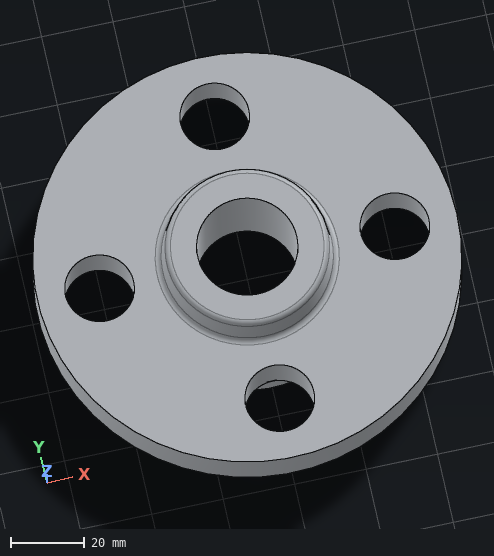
import cadquery as cq

flange_diameter = 117.3
flange_thickness = 14.2

face_diameter = 63.5
face_height = 6.3

total_height = 30.3
hub_height = total_height - flange_thickness - face_height
hub_base_diameter = 47.5
hub_taper_angle = 8.5
hub_top_rounding = 1.5
hub_foot_fillet = 1.6

bore_diameter = 27.7
bolt_hole_diameter = 19.0
bolt_circle_diameter = 82.6
bolt_count = 4


def make_flange():
    """Plate with its underside on Z = 0 and the raised face below it."""
    plate = cq.Workplane("XY").circle(flange_diameter / 2).extrude(flange_thickness)
    raised_face = cq.Workplane("XY").circle(face_diameter / 2).extrude(-face_height)
    return plate.union(raised_face)


def make_hub():
    """Cone frustum standing on the plate, rounded at its top edge."""
    return (
        cq.Workplane("XY", origin=(0, 0, flange_thickness))
        .circle(hub_base_diameter / 2)
        .extrude(hub_height, taper=hub_taper_angle)
        .faces(">Z")
        .edges()
        .fillet(hub_top_rounding)
    )


def fillet_hub_foot(body):
    """Blend the hub into the plate around the foot of the hub."""
    half_width = hub_base_diameter / 2 + hub_foot_fillet
    half_depth = hub_foot_fillet
    foot_zone = cq.selectors.BoxSelector(
        (-half_width, -half_width, flange_thickness - half_depth),
        (half_width, half_width, flange_thickness + half_depth),
        boundingbox=True,
    )
    return body.edges(foot_zone).fillet(hub_foot_fillet)


def drill_holes(body):
    """Cut the central bore and the ring of bolt holes right through."""
    bottom = cq.Workplane("XY", origin=(0, 0, -face_height))
    bore = bottom.circle(bore_diameter / 2).extrude(total_height)
    bolt_holes = (
        bottom.polarArray(bolt_circle_diameter / 2, 0, 360, bolt_count)
        .circle(bolt_hole_diameter / 2)
        .extrude(total_height)
    )
    return body.cut(bore).cut(bolt_holes)


body = fillet_hub_foot(make_flange().union(make_hub()))
result = drill_holes(body)